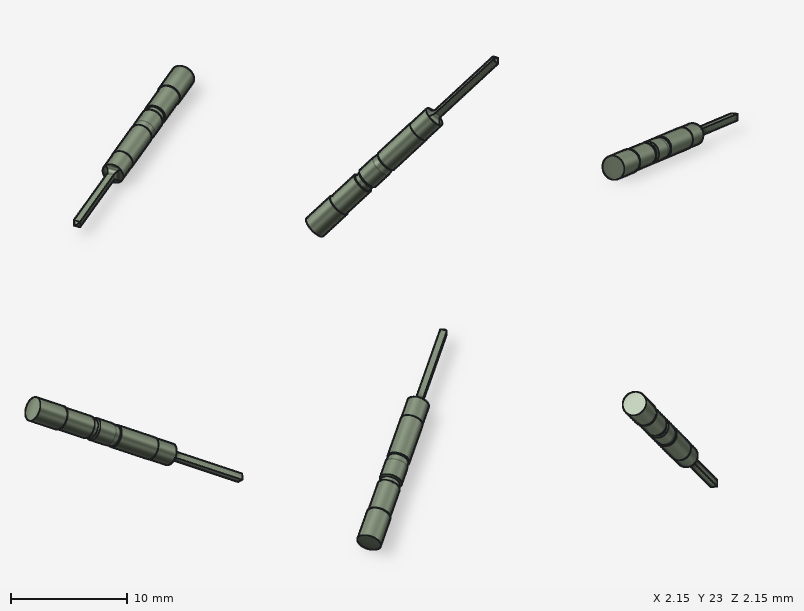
import cadquery as cq

total_length = 23.0
head_diameter = 2.15
body_diameter = 2.0
head_length = 3.0
body_face = 8.0

nose_diameter = 1.95
nose_length = 2.0

groove_diameter = 1.72
groove_rear = 17.0
groove_front = 16.51
groove_chamfer = (body_diameter - groove_diameter) / 2

cone_rear = 14.7
cone_front = 14.12
cone_small_diameter = 1.85
cone_chamfer = (body_diameter - cone_small_diameter) / 2

pin_width = 0.6
tip_length = pin_width / 2
root_radius = 0.48


def turned_body():
    """Revolve the stepped, grooved round body about the Y axis."""
    head_radius = head_diameter / 2
    body_radius = body_diameter / 2
    nose_radius = nose_diameter / 2
    groove_radius = groove_diameter / 2
    head_front = total_length - head_length
    nose_rear = body_face + nose_length
    outline = [
        (0, body_face),
        (nose_radius, body_face),
        (nose_radius, nose_rear),
        (body_radius, nose_rear),
        (body_radius, cone_front - cone_chamfer),
        (cone_small_diameter / 2, cone_front),
        (body_radius, cone_rear),
        (body_radius, groove_front - groove_chamfer),
        (groove_radius, groove_front),
        (groove_radius, groove_rear),
        (body_radius, groove_rear),
        (body_radius, head_front),
        (head_radius, head_front),
        (head_radius, total_length),
        (0, total_length),
    ]
    return cq.Workplane("XY").polyline(outline).close().revolve(360, (0, 0, 0), (0, 1, 0))


def pin_profile():
    """Extrude the pin outline, as seen along Z, to the full body width."""
    half_width = pin_width / 2
    root_half_width = half_width + root_radius
    root_front = body_face - root_radius
    arc_middle = root_radius * (1 - 0.5**0.5)
    return (
        cq.Workplane("XY")
        .moveTo(0, 0)
        .lineTo(half_width, tip_length)
        .lineTo(half_width, root_front)
        .threePointArc((half_width + arc_middle, body_face - arc_middle), (root_half_width, body_face))
        .lineTo(-root_half_width, body_face)
        .threePointArc((-half_width - arc_middle, body_face - arc_middle), (-half_width, root_front))
        .lineTo(-half_width, tip_length)
        .close()
        .extrude(body_diameter / 2, both=True)
    )


def contact_pin():
    """Cross the outline with itself turned a quarter, giving mitred corners held inside the nose diameter."""
    profile = pin_profile()
    square_pin = profile.intersect(profile.rotate((0, 0, 0), (0, 1, 0), 90))
    envelope = cq.Workplane("XZ").circle(nose_diameter / 2).extrude(-body_face)
    return square_pin.intersect(envelope)


result = turned_body().union(contact_pin())